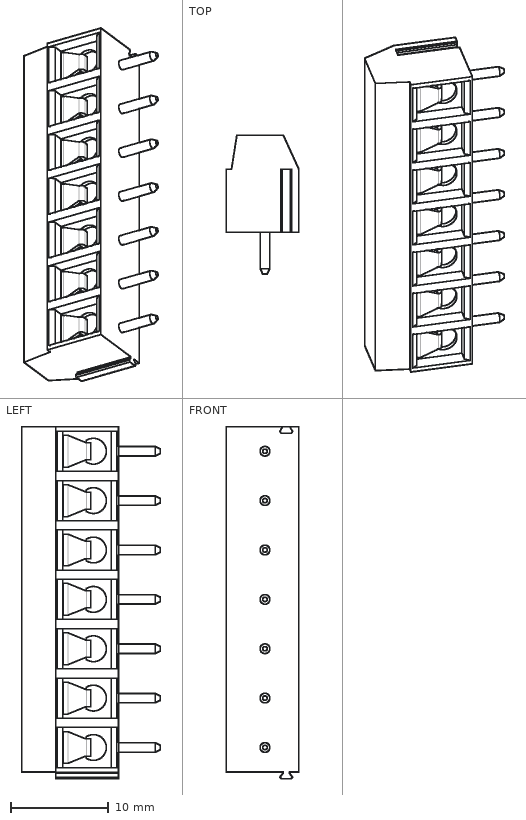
import cadquery as cq
import math


POLE_COUNT = 7
PITCH = 5.08
BODY_LENGTH = POLE_COUNT * PITCH
POLE_HEIGHTS = [(i + 0.5) * PITCH for i in range(POLE_COUNT)]

BODY_WIDTH = 7.5
BODY_DEPTH = 10.0
SHOULDER_Y = 6.5
SHOULDER_STEP = 0.55
TOP_LEFT_X = 1.1
TOP_RIGHT_X = 5.9

PIN_X = 4.0
PIN_RADIUS = 0.5
PIN_LENGTH = 4.3
PIN_TIP_LENGTH = 0.55
PIN_TIP_RADIUS = 0.23
PIN_EMBED = 1.0

POCKET_HEIGHT = 4.14
POCKET_DEPTH = 1.5
POCKET_MOUTH_Y = (0.2, 6.33)
POCKET_FLOOR_Y = (0.75, 5.78)
POCKET_BEVEL_DEPTH = 0.38

HOLE_Y = 2.6
HOLE_RADIUS = 1.33
HOLE_DEPTH = 0.5
HOLE_FLOOR_X = POCKET_DEPTH + HOLE_DEPTH

LEAF_ROLL_RADIUS = 0.45
LEAF_FACE_X = 1.08
LEAF_WIDE_Y = 5.24
LEAF_NARROW_Y = 3.35
LEAF_WIDE_WIDTH = 3.28
LEAF_NARROW_WIDTH = 1.75

DOVETAIL_X = 6.19
DOVETAIL_HEIGHT = 0.68
DOVETAIL_NECK_LENGTH = 0.1
DOVETAIL_WIDEST_AT = 0.5
DOVETAIL_HALF_WIDTH = 0.655
DOVETAIL_END_HALF_WIDTH = 0.52
KEY_NECK_HALF_WIDTH = 0.33
GROOVE_NECK_HALF_WIDTH = 0.42
GROOVE_MOUTH_HALF_WIDTH = 0.55


def make_body():
    outline = [
        (0, 0),
        (BODY_WIDTH, 0),
        (BODY_WIDTH, SHOULDER_Y),
        (TOP_RIGHT_X, BODY_DEPTH),
        (TOP_LEFT_X, BODY_DEPTH),
        (SHOULDER_STEP, SHOULDER_Y),
        (0, SHOULDER_Y),
    ]
    return cq.Workplane("XY").polyline(outline).close().extrude(BODY_LENGTH)


def make_dovetail(base_z, mouth_half_width, neck_half_width):
    """Dovetail bar with flared flanks and chamfered corners, pointing down from base_z."""
    right_side = [
        (mouth_half_width, 0),
        (neck_half_width, DOVETAIL_NECK_LENGTH),
        (DOVETAIL_HALF_WIDTH, DOVETAIL_WIDEST_AT),
        (DOVETAIL_END_HALF_WIDTH, DOVETAIL_HEIGHT),
    ]
    points = [(DOVETAIL_X + half, base_z - drop) for half, drop in right_side]
    points += [(DOVETAIL_X - half, base_z - drop) for half, drop in reversed(right_side)]
    return cq.Workplane("XZ").polyline(points).close().extrude(-SHOULDER_Y)


def make_pin(z):
    """Round pin along -Y with a conical tip, rooted inside the body."""
    half_profile = [
        (0, PIN_EMBED),
        (PIN_RADIUS, PIN_EMBED),
        (PIN_RADIUS, PIN_TIP_LENGTH - PIN_LENGTH),
        (PIN_TIP_RADIUS, -PIN_LENGTH),
        (0, -PIN_LENGTH),
    ]
    profile = cq.Workplane("XY").polyline(half_profile).close()
    return profile.revolve(360, (0, 0, 0), (0, 1, 0)).translate((PIN_X, 0, z))


def make_pocket(z):
    """Pocket with bevelled ends in Y, and the wire hole in its floor."""
    outline = [
        (0, POCKET_MOUTH_Y[0]),
        (POCKET_BEVEL_DEPTH, POCKET_FLOOR_Y[0]),
        (POCKET_DEPTH, POCKET_FLOOR_Y[0]),
        (POCKET_DEPTH, POCKET_FLOOR_Y[1]),
        (POCKET_BEVEL_DEPTH, POCKET_FLOOR_Y[1]),
        (0, POCKET_MOUTH_Y[1]),
    ]
    recess = cq.Workplane("XY").polyline(outline).close().extrude(POCKET_HEIGHT / 2, both=True)
    half_chord = math.sqrt(HOLE_RADIUS**2 - (LEAF_NARROW_Y - HOLE_Y) ** 2)
    hole = (
        cq.Workplane("YZ")
        .moveTo(LEAF_NARROW_Y, half_chord)
        .threePointArc((HOLE_Y - HOLE_RADIUS, 0), (LEAF_NARROW_Y, -half_chord))
        .close()
        .extrude(HOLE_FLOOR_X)
    )
    return recess.union(hole).translate((0, 0, z))


def make_leaf(z):
    """Leaf whose side profile has quarter-round ends and whose width tapers between them."""
    wide_end_y = LEAF_WIDE_Y + LEAF_ROLL_RADIUS
    narrow_end_y = LEAF_NARROW_Y - LEAF_ROLL_RADIUS
    quarter_turn = LEAF_ROLL_RADIUS * math.sqrt(0.5)
    roll_center_x = LEAF_FACE_X + LEAF_ROLL_RADIUS
    roll_mid_x = roll_center_x - quarter_turn
    side_profile = (
        cq.Workplane("XY")
        .moveTo(HOLE_FLOOR_X, wide_end_y)
        .lineTo(roll_center_x, wide_end_y)
        .threePointArc((roll_mid_x, LEAF_WIDE_Y + quarter_turn), (LEAF_FACE_X, LEAF_WIDE_Y))
        .lineTo(LEAF_FACE_X, LEAF_NARROW_Y)
        .threePointArc((roll_mid_x, LEAF_NARROW_Y - quarter_turn), (roll_center_x, narrow_end_y))
        .lineTo(HOLE_FLOOR_X, narrow_end_y)
        .close()
        .extrude(LEAF_WIDE_WIDTH / 2, both=True)
    )
    upper_edge = [
        (wide_end_y, LEAF_WIDE_WIDTH / 2),
        (LEAF_WIDE_Y, LEAF_WIDE_WIDTH / 2),
        (LEAF_NARROW_Y, LEAF_NARROW_WIDTH / 2),
        (narrow_end_y, LEAF_NARROW_WIDTH / 2),
    ]
    lower_edge = [(y, -half_width) for y, half_width in reversed(upper_edge)]
    face_outline = cq.Workplane("YZ").polyline(upper_edge + lower_edge).close().extrude(HOLE_FLOOR_X)
    return side_profile.intersect(face_outline).translate((0, 0, z))


result = make_body()
result = result.cut(make_dovetail(BODY_LENGTH, GROOVE_MOUTH_HALF_WIDTH, GROOVE_NECK_HALF_WIDTH))
result = result.union(make_dovetail(0, KEY_NECK_HALF_WIDTH, KEY_NECK_HALF_WIDTH))

for pole_z in POLE_HEIGHTS:
    result = result.cut(make_pocket(pole_z))
    result = result.union(make_leaf(pole_z))
    result = result.union(make_pin(pole_z))